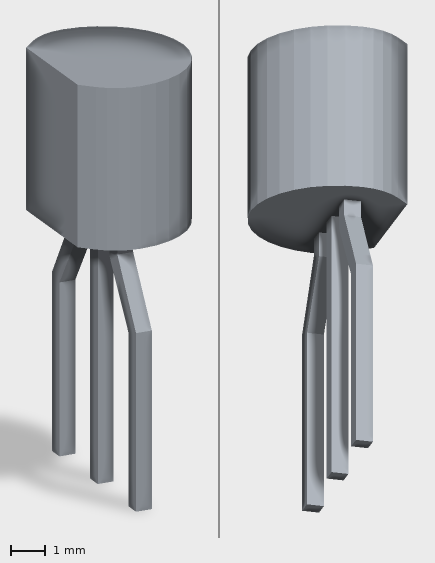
import cadquery as cq
import math

total_height = 13.0
housing_height = 5.0
housing_bottom = total_height - housing_height
back_radius = 2.6
side_radius = 1.7
corner_angle = 45
facet_angle = 11.25
flat_y = -1.6

lead_width = 0.51
inner_pitch = 1.3
outer_pitch = 2.54
outer_side_bends = (5.5, 7.5)
inner_side_bends = (5.35, 7.25)


def arc_points(center_x, radius, start_angle, end_angle):
    """Corners of the flat facets along an arc centred on the X axis, both ends included."""
    facet_count = round(abs(end_angle - start_angle) / facet_angle)
    step = (end_angle - start_angle) / facet_count
    angles = [math.radians(start_angle + i * step) for i in range(facet_count + 1)]
    return [(center_x + radius * math.cos(angle), radius * math.sin(angle)) for angle in angles]


def make_housing():
    back = arc_points(0, back_radius, 90, 0)
    side = arc_points(back_radius - side_radius, side_radius, 0, -corner_angle)
    arc_end_x, arc_end_y = side[-1]
    flat_half_width = arc_end_x - (arc_end_y - flat_y) * math.tan(math.radians(corner_angle))
    right_half = back + side[1:] + [(flat_half_width, flat_y)]
    left_half = [(-x, y) for x, y in reversed(right_half[1:])]

    return (
        cq.Workplane("XY", origin=(0, 0, housing_bottom))
        .polyline(right_half + left_half)
        .close()
        .extrude(housing_height)
    )


def make_middle_lead():
    return cq.Workplane("XY").rect(lead_width, lead_width).extrude(housing_bottom)


def make_outer_lead(side):
    """Cranked lead; side is -1 for the left one and 1 for the right one."""
    half_width = lead_width / 2
    outer_low, outer_high = outer_side_bends
    inner_low, inner_high = inner_side_bends
    outline = [
        (outer_pitch + half_width, 0),
        (outer_pitch + half_width, outer_low),
        (inner_pitch + half_width, outer_high),
        (inner_pitch + half_width, housing_bottom),
        (inner_pitch - half_width, housing_bottom),
        (inner_pitch - half_width, inner_high),
        (outer_pitch - half_width, inner_low),
        (outer_pitch - half_width, 0),
    ]
    return (
        cq.Workplane("XZ")
        .polyline([(side * x, z) for x, z in outline])
        .close()
        .extrude(half_width, both=True)
    )


housing = make_housing()
middle_lead = make_middle_lead()
outer_leads = [make_outer_lead(side) for side in (-1, 1)]

result = cq.Compound.makeCompound(
    [housing.val(), middle_lead.val(), *[lead.val() for lead in outer_leads]]
)